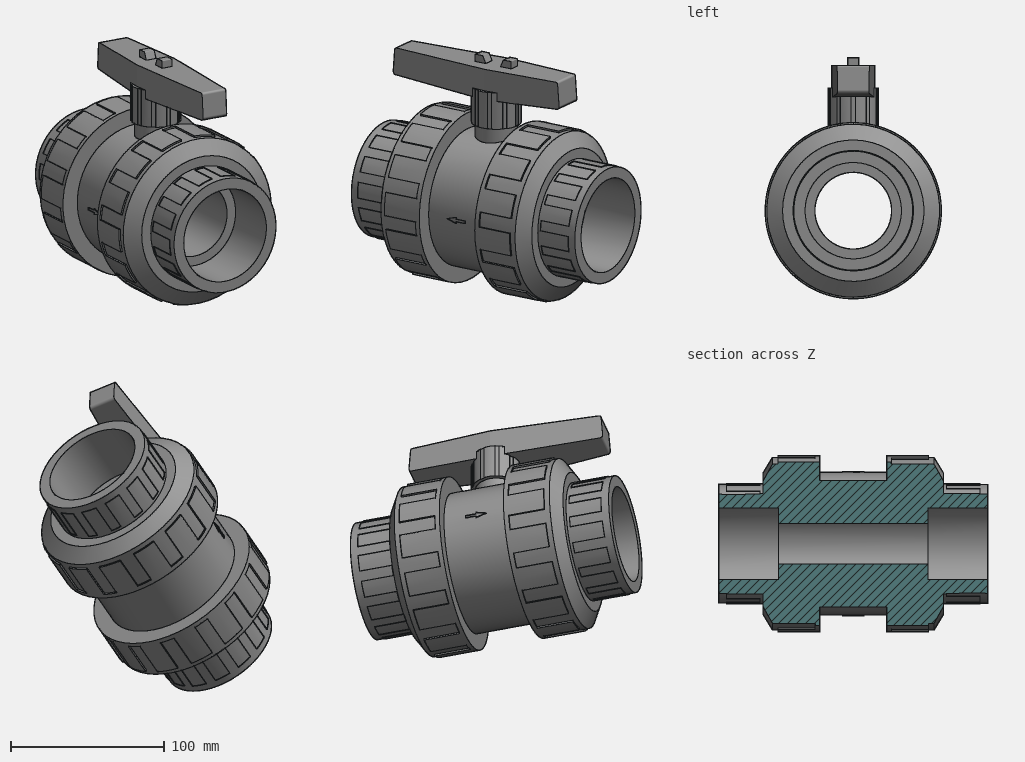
import cadquery as cq
import math


overall_length = 176.0
socket_diameter = 77.8
socket_rib_diameter = 78.7
socket_bore_diameter = 63.0
socket_bore_depth = 39.0
socket_rib_start = 82.9
socket_notch_end = 61.0

nut_diameter = 113.0
nut_rib_diameter = 115.3
nut_nose_diameter = 92.4
nut_outer_face = 59.1
nut_cone_start = 52.8
nut_rib_start = 49.3
nut_notch_end = 25.0
nut_inner_face = 21.8

notch_count = 14
notch_angle = 10.0
notch_first_edge = 0.0
band_root_depth = 1.8
cut_margin = 1.8

body_diameter = 93.5
bore_diameter = 50.0
arrow_height = 0.5
arrow_half_length = 7.0
arrow_shaft_half_width = 0.9
arrow_head_half_width = 2.1

stem_diameter = 28.0
hub_diameter = 33.0
hub_bottom = 55.3
hub_top = 80.3
hub_groove_count = 10
hub_groove_width = 2.8
hub_groove_depth = 0.44

handle_left = 56.7
handle_right = 75.3
handle_top = 95.0
handle_end_bottom = 76.5
handle_middle_bottom = 74.0
handle_end_lean = 1.4
handle_top_edge_radius = 1.5
handle_bottom_edge_radius = 2.1
handle_middle_half_width = 14.0
handle_left_half_width = 10.4
handle_right_half_width = 9.0

lug_top = 100.05
lug_outer = 14.3
lug_inner_top = 8.1
lug_inner_bottom = 5.8
lug_width = 7.4
lug_edge_radius = 0.5


def ring_sector(outer_diameter, inner_diameter, start_angle, sweep, x_from, x_to):
    """Sector of a ring about the X axis; angles run from +Z towards +Y."""
    def point(diameter, degrees):
        angle = math.radians(degrees)
        return (diameter / 2 * math.sin(angle), diameter / 2 * math.cos(angle))

    middle = start_angle + sweep / 2
    end = start_angle + sweep
    return (
        cq.Workplane("YZ", origin=(x_from, 0, 0))
        .moveTo(*point(inner_diameter, start_angle))
        .lineTo(*point(outer_diameter, start_angle))
        .threePointArc(point(outer_diameter, middle), point(outer_diameter, end))
        .lineTo(*point(inner_diameter, end))
        .threePointArc(point(inner_diameter, middle), point(inner_diameter, start_angle))
        .close()
        .extrude(x_to - x_from)
    )


def make_ribbed_band(root_diameter, rib_diameter, rib_start, notch_end, inner_face):
    """Raised band, rooted inside its wall, with notches open towards the pipe end."""
    rooted_diameter = root_diameter - 2 * band_root_depth
    band = (
        cq.Workplane("YZ", origin=(-rib_start, 0, 0))
        .circle(rib_diameter / 2)
        .circle(rooted_diameter / 2)
        .extrude(rib_start - inner_face)
    )
    pitch = 360 / notch_count
    for index in range(notch_count):
        start_angle = notch_first_edge + index * pitch
        notch = ring_sector(
            rib_diameter + cut_margin, rooted_diameter - cut_margin,
            start_angle, notch_angle, -rib_start - cut_margin, -notch_end,
        )
        band = band.cut(notch)
    return band


def make_end():
    """Nut and pipe socket on the -X side."""
    outline = [
        (-overall_length / 2, 0),
        (-overall_length / 2, socket_diameter / 2),
        (-nut_outer_face, socket_diameter / 2),
        (-nut_outer_face, nut_nose_diameter / 2),
        (-nut_cone_start, nut_diameter / 2),
        (-nut_inner_face, nut_diameter / 2),
        (-nut_inner_face, 0),
    ]
    end = cq.Workplane("XY").polyline(outline).close().revolve(360, (0, 0, 0), (1, 0, 0))
    socket_band = make_ribbed_band(
        socket_diameter, socket_rib_diameter, socket_rib_start, socket_notch_end, nut_outer_face
    )
    nut_band = make_ribbed_band(nut_diameter, nut_rib_diameter, nut_rib_start, nut_notch_end, nut_inner_face)
    end = end.union(socket_band).union(nut_band)
    socket_bore = (
        cq.Workplane("YZ", origin=(-overall_length / 2, 0, 0))
        .circle(socket_bore_diameter / 2)
        .extrude(socket_bore_depth)
    )
    return end.cut(socket_bore)


def make_body():
    """Plain barrel between the nuts, with a raised flow arrow on each flank."""
    body = (
        cq.Workplane("YZ", origin=(-nut_inner_face, 0, 0))
        .circle(body_diameter / 2)
        .extrude(2 * nut_inner_face)
    )
    arrow_reach = body_diameter / 2 + arrow_height
    arrows = (
        cq.Workplane("XZ", origin=(0, arrow_reach, 0))
        .moveTo(-arrow_half_length, -arrow_shaft_half_width)
        .lineTo(0, -arrow_shaft_half_width)
        .lineTo(0, -arrow_head_half_width)
        .lineTo(arrow_half_length, 0)
        .lineTo(0, arrow_head_half_width)
        .lineTo(0, arrow_shaft_half_width)
        .lineTo(-arrow_half_length, arrow_shaft_half_width)
        .close()
        .extrude(2 * arrow_reach)
    )
    return body.union(arrows)


def make_stem():
    """Round stem carrying the grip hub, whose shallow grooves run its full height."""
    hub_height = hub_top - hub_bottom
    hub_base = cq.Workplane("XY", origin=(0, 0, hub_bottom))
    stem = cq.Workplane("XY").circle(stem_diameter / 2).extrude(hub_top)
    hub = hub_base.circle(hub_diameter / 2).extrude(hub_height)
    grooves = (
        hub_base.polarArray(hub_diameter / 2, 0, 360, hub_groove_count)
        .rect(2 * hub_groove_depth, hub_groove_width)
        .extrude(hub_height)
    )
    return stem.union(hub.cut(grooves))


def make_handle():
    """Tapered handle, longer towards +X: side profile intersected with its plan."""
    profile = (
        cq.Workplane("XZ", origin=(0, handle_middle_half_width, 0))
        .moveTo(-handle_left, handle_end_bottom)
        .lineTo(0, handle_middle_bottom)
        .lineTo(handle_right, handle_end_bottom)
        .lineTo(handle_right - handle_end_lean, handle_top)
        .lineTo(-handle_left + handle_end_lean, handle_top)
        .close()
        .extrude(2 * handle_middle_half_width)
        .edges("|Y and >Z")
        .fillet(handle_top_edge_radius)
        .edges("(|Y and <X) or (|Y and >X)")
        .fillet(handle_bottom_edge_radius)
    )
    plan = (
        cq.Workplane("XY", origin=(0, 0, handle_middle_bottom))
        .moveTo(-handle_left, -handle_left_half_width)
        .lineTo(0, -handle_middle_half_width)
        .lineTo(handle_right, -handle_right_half_width)
        .lineTo(handle_right, handle_right_half_width)
        .lineTo(0, handle_middle_half_width)
        .lineTo(-handle_left, handle_left_half_width)
        .close()
        .extrude(handle_top - handle_middle_bottom)
    )
    return profile.intersect(plan)


def make_lug():
    """Pointer lug on the -X half of the handle, sloping on its inner side."""
    return (
        cq.Workplane("XZ", origin=(0, lug_width / 2, 0))
        .moveTo(-lug_outer, handle_top)
        .lineTo(-lug_inner_bottom, handle_top)
        .lineTo(-lug_inner_top, lug_top)
        .lineTo(-lug_outer, lug_top)
        .close()
        .extrude(lug_width)
        .edges("|Y and >Z")
        .fillet(lug_edge_radius)
    )


left_end = make_end()
right_end = left_end.rotate((0, 0, 0), (0, 0, 1), 180)
left_lug = make_lug()
right_lug = left_lug.mirror("YZ")

bore = (
    cq.Workplane("YZ", origin=(-overall_length / 2, 0, 0))
    .circle(bore_diameter / 2)
    .extrude(overall_length)
)

result = (
    make_body()
    .union(left_end)
    .union(right_end)
    .union(make_stem())
    .union(make_handle())
    .union(left_lug)
    .union(right_lug)
    .cut(bore)
)